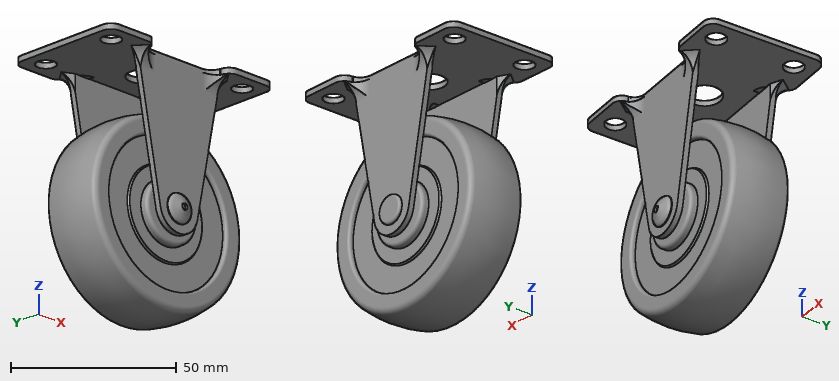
import cadquery as cq
import math


PLATE_X = 70.0
PLATE_Y = 42.0
SHEET = 2.0
CORNER_R = 3.5
MOUNT_HOLE_R = 3.4
MOUNT_PITCH_X = 55.9
MOUNT_PITCH_Y = 28.05
CENTRE_HOLE_R = 5.65
LEG_OUTER_Y = 15.0
LEG_INNER_Y = LEG_OUTER_Y - SHEET
BEND_HALF_X = 10.4
NOTCH_R = 5.0
EAR_INNER_X = BEND_HALF_X + NOTCH_R
EAR_TANGENT_Y = PLATE_Y / 2 - CORNER_R
LIP_OVERLAP = 0.1
GUSSET_Z = -8.0
SHOULDER_HALF_X = 16.4
LEG_TIP_R = 8.0
FAN_R = 6.3
GUSSET_EDGE_X = 16.5
GUSSET_EDGE_Y = 19.85
FLARE_END_X = 20.4
FRONT_BULGE = (1.6, 4.0)
SIDE_BULGE = (1.2, 3.2)
CORNER_BULGE = (0.9, 3.5)

WHEEL_R = 32.5
AXLE_Z = WHEEL_R - 82.0
WHEEL_HALF_W = 10.5
TREAD_HALF_W = 9.0
TREAD_EDGE_R = 31.5
RIM_FACE_R = 29.4
RIM_EDGE_R = 2.05
RIM_INNER_R = 24.9
RIM_INNER_EDGE_R = 1.0
WEB_DEPTH = 1.7
BOSS_BASE_R = 15.9
BOSS_R = 15.5
BOSS_HEIGHT = 0.65
HUB_R = 10.75
HUB_HALF_W = 12.1
HUB_EDGE_R = 1.15

PIN_R = 3.4
HEAD_R = 5.0
HEAD_RIM = 0.25
HEAD_SHOULDER_R = 3.9
HEAD_SHOULDER = 1.3
HEAD_SHOULDER_ARC_R = 2.05
HEAD_HEIGHT = 2.55
DIMPLE_R = 1.1
DIMPLE_DEPTH = 0.8
TAIL_R = 4.8
TAIL_HEIGHT = 1.15
TAIL_EDGE_R = 0.8


def pin_bore(radius, half_length):
    """Cylinder on the wheel axis, centred on the mid-plane."""
    return cq.Workplane("XZ", origin=(0, 0, AXLE_Z)).circle(radius).extrude(half_length, both=True)


def revolve_on_axle(profile):
    """Revolve a closed (radius, Y) profile about the wheel axis."""
    return profile.revolve(360, (0, 0, 0), (0, 1, 0)).translate((0, 0, AXLE_Z))


def plate():
    """Mounting plate with a bend-relief notch between the ears on both long sides."""
    half_y = PLATE_Y / 2
    slab = cq.Workplane("XY").box(PLATE_X, PLATE_Y, SHEET).translate((0, 0, -SHEET / 2))
    slab = slab.edges("|Z").fillet(CORNER_R)
    notch = (
        cq.Workplane("XY")
        .moveTo(-BEND_HALF_X, -LEG_INNER_Y)
        .lineTo(BEND_HALF_X, -LEG_INNER_Y)
        .tangentArcPoint((EAR_INNER_X, -EAR_TANGENT_Y), relative=False)
        .radiusArc((EAR_INNER_X + CORNER_R, -half_y), -CORNER_R)
        .lineTo(-EAR_INNER_X - CORNER_R, -half_y)
        .radiusArc((-EAR_INNER_X, -EAR_TANGENT_Y), -CORNER_R)
        .tangentArcPoint((-BEND_HALF_X, -LEG_INNER_Y), relative=False)
        .close()
        .extrude(-SHEET)
    )
    slab = slab.cut(notch).cut(notch.mirror("XZ"))
    mount_holes = (
        cq.Workplane("XY").rarray(MOUNT_PITCH_X, MOUNT_PITCH_Y, 2, 2).circle(MOUNT_HOLE_R).extrude(-SHEET)
    )
    centre_hole = cq.Workplane("XY").circle(CENTRE_HOLE_R).extrude(-SHEET)
    return slab.cut(mount_holes).cut(centre_hole)


def leg():
    """Tapered leg on the -Y side, tangent to its round tip, with the rounded bend on top."""
    drop = GUSSET_Z - AXLE_Z
    reach = math.hypot(SHOULDER_HALF_X, drop)
    taper = math.acos(LEG_TIP_R / reach) - math.atan2(drop, SHOULDER_HALF_X)
    tangent_x = LEG_TIP_R * math.cos(taper)
    tangent_z = AXLE_Z - LEG_TIP_R * math.sin(taper)
    blade = (
        cq.Workplane("XZ", origin=(0, -LEG_INNER_Y, 0))
        .moveTo(SHOULDER_HALF_X, -SHEET)
        .lineTo(SHOULDER_HALF_X, GUSSET_Z)
        .lineTo(tangent_x, tangent_z)
        .threePointArc((0, AXLE_Z - LEG_TIP_R), (-tangent_x, tangent_z))
        .lineTo(-SHOULDER_HALF_X, GUSSET_Z)
        .lineTo(-SHOULDER_HALF_X, -SHEET)
        .close()
        .extrude(SHEET)
    )
    bend = (
        cq.Workplane("YZ", origin=(-BEND_HALF_X, 0, 0))
        .moveTo(-LEG_INNER_Y, 0)
        .radiusArc((-LEG_OUTER_Y, -SHEET), -SHEET)
        .lineTo(-LEG_INNER_Y, -SHEET)
        .close()
        .extrude(2 * BEND_HALF_X)
    )
    return blade.union(bend)


def notch_lip():
    """Continuation of the bend along the notch arc, its rounding shrinking towards the ear."""
    section_count = 6
    last_angle = 80.0
    bottom_z = -SHEET - LIP_OVERLAP
    sections = []
    for i in range(section_count):
        angle = math.radians(last_angle * i / (section_count - 1))
        x = BEND_HALF_X + NOTCH_R * math.sin(angle)
        y = -LEG_INNER_Y - NOTCH_R * (1 - math.cos(angle))
        size = SHEET * math.cos(angle)
        section = (
            cq.Workplane("YZ", origin=(x, 0, 0))
            .moveTo(y, 0)
            .radiusArc((y - size, -size), -size)
            .lineTo(y - size, bottom_z)
            .lineTo(y + SHEET, bottom_z)
            .lineTo(y + SHEET, 0)
            .close()
        )
        sections.append(section.val())
    return cq.Workplane(cq.Solid.makeLoft(sections))


def concave_trim(outward, reach, bulge_point):
    """Keep-region above a concave face rising from the leg's outer corner to the plate underside."""
    foot = cq.Vector(SHOULDER_HALF_X, -LEG_OUTER_Y, GUSSET_Z)
    rise = -SHEET - GUSSET_Z
    return (
        cq.Workplane(cq.Plane(origin=foot, xDir=outward, normal=outward.cross(cq.Vector(0, 0, 1))))
        .moveTo(0, 0)
        .threePointArc(bulge_point, (reach, rise))
        .lineTo(-SHOULDER_HALF_X, rise)
        .lineTo(-SHOULDER_HALF_X, 0)
        .close()
        .extrude(PLATE_X, both=True)
    )


def gusset():
    """Flared corner between a leg and an ear, following the notch above and hollowed by concave faces."""
    blank = (
        cq.Workplane("XY", origin=(0, 0, -SHEET))
        .moveTo(BEND_HALF_X, -LEG_OUTER_Y)
        .radiusArc((EAR_INNER_X, -EAR_TANGENT_Y), FAN_R)
        .lineTo(GUSSET_EDGE_X, -GUSSET_EDGE_Y)
        .lineTo(FLARE_END_X, -LEG_OUTER_Y)
        .lineTo(SHOULDER_HALF_X, -LEG_INNER_Y)
        .lineTo(BEND_HALF_X, -LEG_INNER_Y)
        .close()
        .extrude(GUSSET_Z + SHEET)
    )

    span_x = FLARE_END_X - SHOULDER_HALF_X
    front_trim = concave_trim(cq.Vector(0, -1, 0), GUSSET_EDGE_Y - LEG_OUTER_Y, FRONT_BULGE)
    side_trim = concave_trim(cq.Vector(1, 0, 0), span_x, SIDE_BULGE)
    across = cq.Vector(GUSSET_EDGE_Y - LEG_OUTER_Y, GUSSET_EDGE_X - FLARE_END_X, 0).normalized()
    corner_trim = concave_trim(across, span_x * across.x, CORNER_BULGE)
    return blank.intersect(corner_trim).intersect(side_trim).intersect(front_trim)


def fork():
    """Plate, two legs and four flared corners as one bent sheet, bored for the pin."""
    corner = notch_lip().union(gusset())
    side = leg().union(corner).union(corner.mirror("YZ"))
    body = plate().union(side).union(side.mirror("XZ"))
    return body.cut(pin_bore(PIN_R, LEG_OUTER_Y))


def wheel():
    """Crowned wheel with recessed webs, stepped bosses and a bored hub."""
    web_y = WHEEL_HALF_W - WEB_DEPTH
    boss_y = web_y + BOSS_HEIGHT
    hub_face_r = HUB_R - HUB_EDGE_R
    rim_face_inner_r = RIM_INNER_R + RIM_INNER_EDGE_R
    side_steps = [
        (HUB_R, boss_y),
        (BOSS_R, boss_y),
        (BOSS_BASE_R, web_y),
        (RIM_INNER_R, web_y),
        (RIM_INNER_R, WHEEL_HALF_W - RIM_INNER_EDGE_R),
    ]
    profile = (
        cq.Workplane("XY")
        .moveTo(PIN_R, HUB_HALF_W)
        .lineTo(PIN_R, -HUB_HALF_W)
        .lineTo(hub_face_r, -HUB_HALF_W)
        .radiusArc((HUB_R, -HUB_HALF_W + HUB_EDGE_R), -HUB_EDGE_R)
    )
    for radius, y in side_steps:
        profile = profile.lineTo(radius, -y)
    profile = (
        profile.radiusArc((rim_face_inner_r, -WHEEL_HALF_W), -RIM_INNER_EDGE_R)
        .lineTo(RIM_FACE_R, -WHEEL_HALF_W)
        .radiusArc((TREAD_EDGE_R, -TREAD_HALF_W), -RIM_EDGE_R)
        .threePointArc((WHEEL_R, 0), (TREAD_EDGE_R, TREAD_HALF_W))
        .radiusArc((RIM_FACE_R, WHEEL_HALF_W), -RIM_EDGE_R)
        .lineTo(rim_face_inner_r, WHEEL_HALF_W)
        .radiusArc((RIM_INNER_R, WHEEL_HALF_W - RIM_INNER_EDGE_R), -RIM_INNER_EDGE_R)
    )
    for radius, y in reversed(side_steps[:-1]):
        profile = profile.lineTo(radius, y)
    profile = profile.lineTo(HUB_R, HUB_HALF_W - HUB_EDGE_R)
    profile = profile.radiusArc((hub_face_r, HUB_HALF_W), -HUB_EDGE_R).close()
    return revolve_on_axle(profile)


def axle():
    """Pin with a domed, dimpled head on the -Y side and a flat rounded tail on the +Y side."""
    profile = (
        cq.Workplane("XY")
        .moveTo(0, LEG_OUTER_Y + TAIL_HEIGHT)
        .lineTo(TAIL_R - TAIL_EDGE_R, LEG_OUTER_Y + TAIL_HEIGHT)
        .radiusArc((TAIL_R, LEG_OUTER_Y + TAIL_HEIGHT - TAIL_EDGE_R), TAIL_EDGE_R)
        .lineTo(TAIL_R, LEG_OUTER_Y)
        .lineTo(PIN_R, LEG_OUTER_Y)
        .lineTo(PIN_R, -LEG_OUTER_Y)
        .lineTo(HEAD_R, -LEG_OUTER_Y)
        .lineTo(HEAD_R, -LEG_OUTER_Y - HEAD_RIM)
        .radiusArc((HEAD_SHOULDER_R, -LEG_OUTER_Y - HEAD_SHOULDER), HEAD_SHOULDER_ARC_R)
        .lineTo(DIMPLE_R, -LEG_OUTER_Y - HEAD_HEIGHT)
        .lineTo(DIMPLE_R, -LEG_OUTER_Y - HEAD_HEIGHT + DIMPLE_DEPTH)
        .lineTo(0, -LEG_OUTER_Y - HEAD_HEIGHT + DIMPLE_DEPTH)
        .close()
    )
    return revolve_on_axle(profile)


fork_body = fork()
wheel_body = wheel()
axle_body = axle()

result = cq.Compound.makeCompound([fork_body.val(), wheel_body.val(), axle_body.val()])